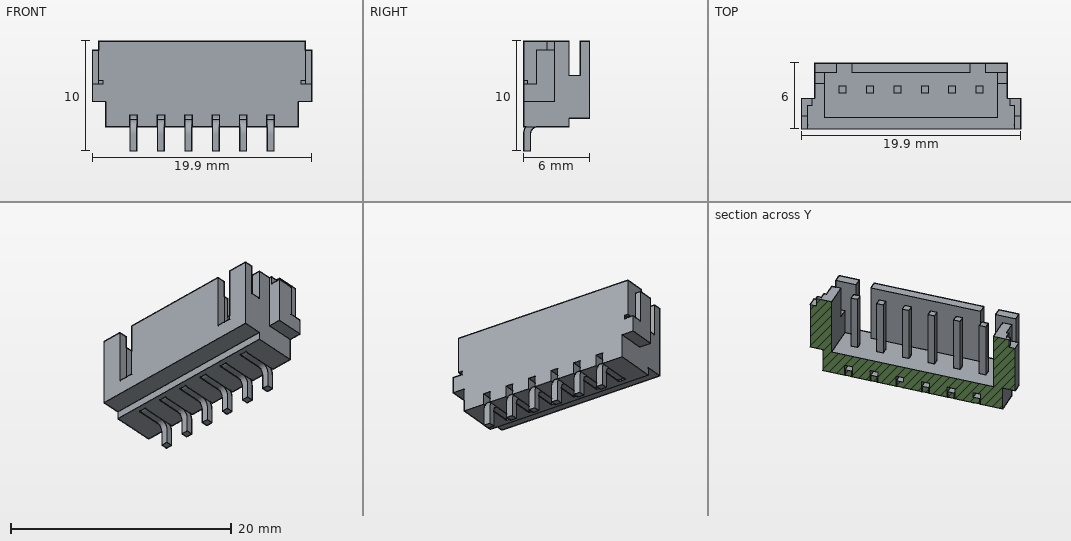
import cadquery as cq


housing_width = 17.52
housing_depth = 6.0
housing_height = 7.8
rear_overhang_depth = 1.85
rear_overhang_lift = 0.78

cavity_width = 15.72
cavity_floor = 2.3
front_wall = 1.08
rear_wall = 0.85

side_gap_width = 1.0
side_gap_floor = 4.69
rear_slot_width = 1.44
rear_slot_offset = 6.06

ear_span = 19.95
ear_depth = 2.8
ear_bottom = 2.3
ear_top = 6.98
pad_span = 18.0
rib_span = 18.8
rib_depth = 2.13
ear_pocket_depth = 1.2
ear_pocket_floor = 3.9
rib_undercut_depth = 0.35
rib_undercut_height = 0.34

pin_count = 6
pin_pitch = 2.5
pin_size = 0.64
post_y = 3.61
post_top = 7.56
tail_length = 2.2
tail_bend_radius = 0.68
post_bend_radius = 0.12
leg_bottom = 0.02
pin_notch_width = 0.72
pin_notch_height = 1.1


def block(x_range, y_range, z_range):
    """Box spanning the given (low, high) ranges."""
    sizes = [high - low for low, high in (x_range, y_range, z_range)]
    corner = (x_range[0], y_range[0], z_range[0])
    return cq.Workplane("XY").box(*sizes, centered=False).translate(corner)


def centred(width, middle=0.0):
    """Range of the given width about a middle position."""
    return (middle - width / 2, middle + width / 2)


def make_shroud():
    body = block(centred(housing_width), (0, housing_depth), (0, housing_height))
    rear_step_y = housing_depth - rear_overhang_depth
    body = body.cut(block(centred(housing_width), (rear_step_y, housing_depth), (0, rear_overhang_lift)))

    rear_wall_y = housing_depth - rear_wall
    cavity_height = (cavity_floor, housing_height)
    body = body.cut(block(centred(cavity_width), (front_wall, rear_wall_y), cavity_height))

    gap_range = (rear_wall_y - side_gap_width, rear_wall_y)
    body = body.cut(block(centred(housing_width), gap_range, (side_gap_floor, housing_height)))

    for side in (-1, 1):
        slot_range = centred(rear_slot_width, side * rear_slot_offset)
        body = body.cut(block(slot_range, (rear_wall_y, housing_depth), cavity_height))
    return body


def make_right_ear():
    """Stepped ear at the +X end, with a front pocket beside its undercut rib."""
    inner_x = cavity_width / 2
    pad_x = pad_span / 2
    rib_x = (inner_x, rib_span / 2)
    full_x = (inner_x, ear_span / 2)

    ear = block((inner_x, pad_x), (0, ear_depth), (ear_bottom, housing_height))
    ear = ear.union(block(full_x, (0, ear_depth), (ear_bottom, ear_top)))
    pocket_x = (pad_x, ear_span / 2)
    ear = ear.cut(block(pocket_x, (0, ear_pocket_depth), (ear_pocket_floor, ear_top)))

    ear = ear.union(block(rib_x, (0, rib_depth), (ear_pocket_floor, housing_height)))
    undercut_z = (ear_pocket_floor, ear_pocket_floor + rib_undercut_height)
    return ear.cut(block(pocket_x, (0, rib_undercut_depth), undercut_z))


def make_pin():
    """Square pin: upright post, forward leg and downward tail, in one bent strip centred on X = 0."""
    post_front = post_y - pin_size / 2
    post_rear = post_y + pin_size / 2
    leg_top = leg_bottom + pin_size
    tail_outer_radius = tail_bend_radius + pin_size
    post_outer_radius = post_bend_radius + pin_size
    tail_bend_z = leg_bottom - tail_bend_radius
    post_bend_y = post_front - post_bend_radius
    post_bend_z = leg_top + post_bend_radius
    profile = (
        cq.Workplane("YZ", origin=(-pin_size / 2, 0, 0))
        .moveTo(0, -tail_length)
        .lineTo(0, tail_bend_z)
        .tangentArcPoint((tail_outer_radius, leg_top), relative=False)
        .lineTo(post_bend_y, leg_top)
        .tangentArcPoint((post_front, post_bend_z), relative=False)
        .lineTo(post_front, post_top)
        .lineTo(post_rear, post_top)
        .lineTo(post_rear, post_bend_z)
        .tangentArcPoint((post_rear - post_outer_radius, leg_bottom), relative=False)
        .lineTo(tail_outer_radius, leg_bottom)
        .tangentArcPoint((pin_size, tail_bend_z), relative=False)
        .lineTo(pin_size, -tail_length)
        .close()
    )
    return profile.extrude(pin_size)


right_ear = make_right_ear()
result = make_shroud().union(right_ear).union(right_ear.mirror("YZ"))

pin = make_pin()
notch = block(centred(pin_notch_width), (0, post_y), (0, pin_notch_height))
for index in range(pin_count):
    pin_x = (index - (pin_count - 1) / 2) * pin_pitch
    result = result.cut(notch.translate((pin_x, 0, 0)))
    result = result.union(pin.translate((pin_x, 0, 0)))